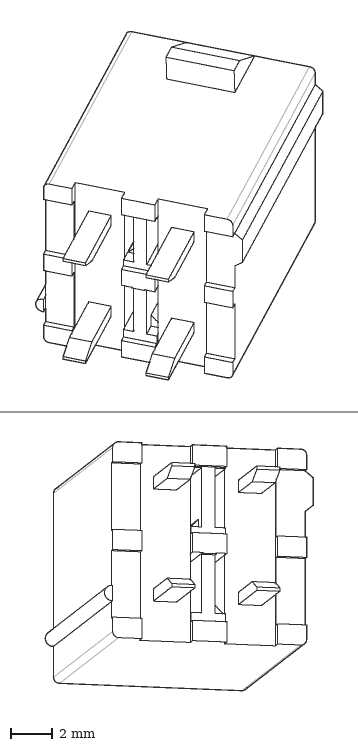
import cadquery as cq
import math


body_side = 9.6
body_length = 12.81
corner_radius = 0.3
side_x = body_side / 2
top_z = body_side / 2
front_y = -body_length

channel_pitch = 4.2
channel_width = 2.51
channel_depth = 0.5
strip_depth = 0.31
pad_height = 1.0
floor_y = front_y + channel_depth
strip_y = front_y + strip_depth

row_centre_z = 0.2

web_width = 0.67
window_width = (channel_pitch - channel_width - web_width) / 2
window_height = 2.9
window_pitch = 4.2
corner_setback = 0.98
upper_corner_size = 0.49
lower_corner_size = 0.67

pin_row_pitch = 5.5
pin_width = 1.14
pin_height = 0.6
pin_tip_height = 0.16
pin_taper_length = 1.0
pin_tip_y = -16.3

latch_width = 3.45
latch_height = 1.4
latch_ramp_length = 2.35
latch_base_length = 3.08
latch_top_length = 3.2

key_height = 1.97
key_centre_z = 2.8
key_depth = 0.39
key_chamfer_height = 0.31
rib_reach = 0.4
rib_radius = 0.37
rib_z = -2.62


def box_between(x_range, y_range, z_range):
    """Box spanning the given (low, high) range on each axis."""
    ranges = (x_range, y_range, z_range)
    sizes = [high - low for low, high in ranges]
    corner = tuple(low for low, high in ranges)
    return cq.Workplane("XY").box(*sizes, centered=False).translate(corner)


def extrude_along_y(points, y_front, y_back):
    """Prism of an XZ outline between two Y positions."""
    outline = cq.Workplane("XZ", origin=(0, y_back, 0)).polyline(points).close()
    return outline.extrude(y_back - y_front)


def extrude_across_x(points, x_centre, width):
    """Prism of a YZ outline centred on an X position."""
    outline = cq.Workplane("YZ", origin=(x_centre, 0, 0)).polyline(points).close()
    return outline.extrude(width / 2, both=True)


def make_housing():
    block = box_between((-side_x, side_x), (front_y, 0), (-top_z, top_z))
    return block.edges("|Y").fillet(corner_radius)


def make_strip_recess(side):
    """Full-width recess between two rows of pads, above (+1) or below (-1) the middle row."""
    z_limits = sorted((side * pad_height / 2, side * (top_z - pad_height)))
    return box_between((-side_x, side_x), (front_y, strip_y), z_limits)


def make_channel(side):
    """Full-height channel around one column of pins."""
    centre = side * channel_pitch / 2
    x_limits = (centre - channel_width / 2, centre + channel_width / 2)
    return box_between(x_limits, (front_y, floor_y), (-top_z, top_z))


def make_window(side, row):
    """Through window beside the web."""
    x_limits = sorted((side * web_width / 2, side * (web_width / 2 + window_width)))
    centre = row_centre_z + row * window_pitch / 2
    z_limits = (centre - window_height / 2, centre + window_height / 2)
    return box_between(x_limits, (front_y, 0), z_limits)


def make_window_corner(side, row, size):
    """45-degree filler in the lower corner of a window next to the web, set back from the pin end."""
    x_web = side * web_width / 2
    z_bottom = row_centre_z + row * window_pitch / 2 - window_height / 2
    points = [
        (x_web, z_bottom),
        (x_web + side * size, z_bottom),
        (x_web, z_bottom + size),
    ]
    return extrude_along_y(points, front_y + corner_setback, 0)


def make_pin(side, row):
    """Flat pin whose end tapers on the face towards the other row."""
    outer_z = row_centre_z + row * (pin_row_pitch + pin_height) / 2
    inner_z = outer_z - row * pin_height
    points = [
        (floor_y, outer_z),
        (pin_tip_y, outer_z),
        (pin_tip_y, outer_z - row * pin_tip_height),
        (pin_tip_y + pin_taper_length, inner_z),
        (floor_y, inner_z),
    ]
    return extrude_across_x(points, side * channel_pitch / 2, pin_width)


def make_latch():
    points = [
        (0, top_z),
        (-latch_ramp_length, top_z + latch_height),
        (-latch_top_length, top_z + latch_height),
        (-latch_base_length, top_z),
    ]
    return extrude_across_x(points, 0, latch_width)


def make_key():
    base = key_height / 2
    crest = base - key_chamfer_height
    points = [
        (side_x, key_centre_z - base),
        (side_x + key_depth, key_centre_z - crest),
        (side_x + key_depth, key_centre_z + crest),
        (side_x, key_centre_z + base),
    ]
    return extrude_along_y(points, strip_y, 0)


def make_rib():
    """Rib along the whole -X side, a little more than half round."""
    axis_x = -side_x - (rib_reach - rib_radius)
    half_root = math.sqrt(rib_radius**2 - (side_x + axis_x) ** 2)
    start = cq.Workplane("XZ").moveTo(-side_x, rib_z - half_root)
    outline = start.threePointArc((-side_x - rib_reach, rib_z), (-side_x, rib_z + half_root)).close()
    return outline.extrude(body_length)


result = make_housing()

for side in (-1, 1):
    result = result.cut(make_strip_recess(side)).cut(make_channel(side))

for side in (-1, 1):
    for row in (-1, 1):
        result = result.cut(make_window(side, row))
        result = result.union(make_pin(side, row))

result = result.union(make_window_corner(-1, 1, upper_corner_size))
result = result.union(make_window_corner(1, -1, lower_corner_size))

result = result.union(make_latch()).union(make_key()).union(make_rib())